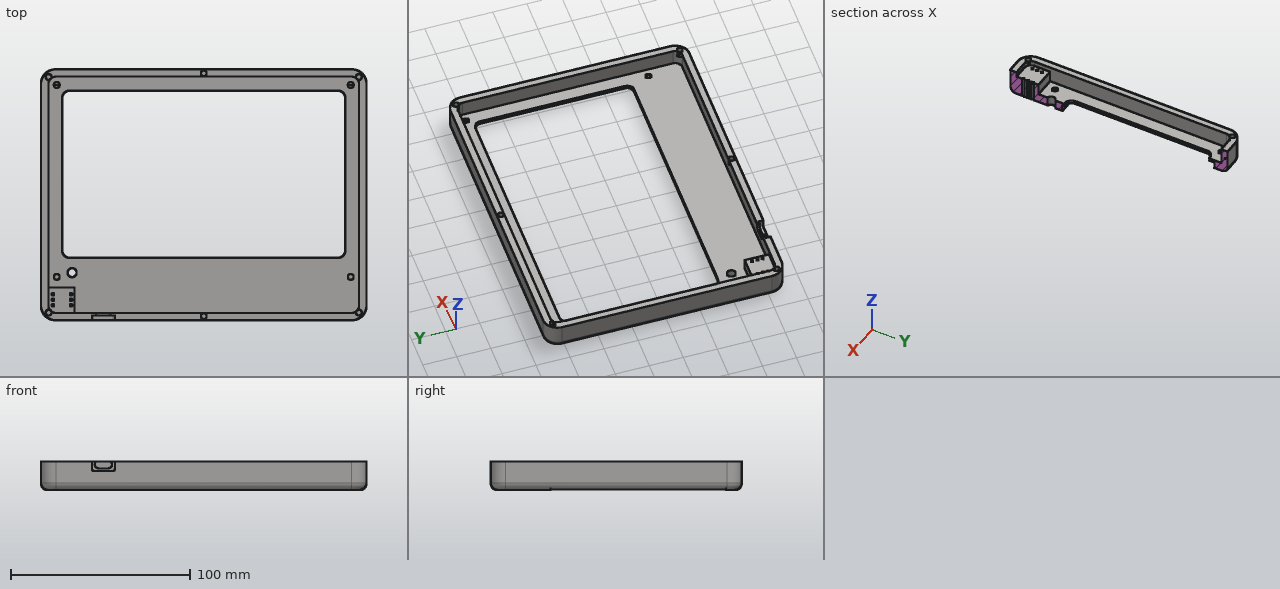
import cadquery as cq

length = 182.0
width = 140.3
height = 16.0
wall = 4.2
corner_radius = 8.4
inner_corner_radius = corner_radius - wall
bottom_fillet = 4.0
floor_top = 6.0

window_length = 158.0
window_width = 93.2
window_center_y = 11.5
window_radius = 4.0

panel_length = 177.3
panel_width = 98.0
panel_center_y = 12.4
panel_lip = 2.0
panel_depth = floor_top - panel_lip

screw_diameter = 3.3
rim_screw_depth = 4.0
corner_screw_inset = 4.4
middle_screw_inset = 2.4
floor_screw_depth = 1.5
floor_screw_x = 82.0
floor_screw_back_y = 61.3
floor_screw_front_y = -45.9

button_diameter = 5.0
button_x = -73.5
button_y = -43.5

block_length = 14.5
block_width = 14.2
block_top = height - 3.1
pin_diameter = 1.2
pin_pitch = 3.1
pin_row_spacing = 10.2
pin_center_x = -79.2
pin_center_y = -58.6

port_x = -56.0
port_length = 9.6
port_height = 4.4
port_bottom_drop = 3.8
port_recess_length = 12.7
port_recess_height = 5.3
port_recess_depth = 2.7
port_recess_radius = 1.0

inner_x = length / 2 - wall
inner_y = width / 2 - wall
front_y = -width / 2


def rounded_block(size_x, size_y, size_z, radius, base_z):
    block = cq.Workplane("XY").workplane(offset=base_z).rect(size_x, size_y).extrude(size_z)
    return block.edges("|Z").fillet(radius)


def holes_down(points, diameter, depth, top_z):
    plane = cq.Workplane("XY").workplane(offset=top_z)
    return plane.pushPoints(points).circle(diameter / 2).extrude(-depth)


def make_shell():
    outside = rounded_block(length, width, height, corner_radius, 0)
    outside = outside.faces("<Z").edges().fillet(bottom_fillet)
    inside = rounded_block(2 * inner_x, 2 * inner_y, height - floor_top, inner_corner_radius, floor_top)
    return outside.cut(inside)


def make_window():
    window = rounded_block(window_length, window_width, floor_top, window_radius, 0)
    return window.translate((0, window_center_y, 0))


def make_panel_recess():
    plane = cq.Workplane("XY").center(0, panel_center_y)
    return plane.rect(panel_length, panel_width).extrude(panel_depth)


def make_corner_block():
    block_height = block_top - floor_top
    block = cq.Workplane("XY").box(block_length, block_width, block_height, centered=False)
    return block.translate((-inner_x, -inner_y, floor_top))


def make_pin_holes():
    points = [
        (pin_center_x + side * pin_row_spacing / 2, pin_center_y + row * pin_pitch)
        for side in (-1, 1)
        for row in (-1, 0, 1)
    ]
    return holes_down(points, pin_diameter, block_top, block_top)


def make_rim_screw_holes():
    corner_x = length / 2 - corner_screw_inset
    corner_y = width / 2 - corner_screw_inset
    middle_y = width / 2 - middle_screw_inset
    points = [(x, y) for x in (-corner_x, corner_x) for y in (-corner_y, corner_y)]
    points += [(0, -middle_y), (0, middle_y)]
    return holes_down(points, screw_diameter, rim_screw_depth, height)


def make_floor_screw_holes():
    points = [
        (x, y)
        for x in (-floor_screw_x, floor_screw_x)
        for y in (floor_screw_front_y, floor_screw_back_y)
    ]
    return holes_down(points, screw_diameter, floor_screw_depth, floor_top)


def make_port():
    center_z = height - port_bottom_drop + port_height / 2
    plane = cq.Workplane("XZ", origin=(port_x, front_y, center_z))
    return plane.slot2D(port_length, port_height).extrude(-wall)


def make_port_recess():
    recess = cq.Workplane("XY").box(
        port_recess_length, port_recess_depth, port_recess_height, centered=(True, False, False)
    )
    recess = recess.edges("|Y and <Z").fillet(port_recess_radius)
    return recess.translate((port_x, front_y, height - port_recess_height))


tray = make_shell().union(make_corner_block())
tray = tray.cut(make_window()).cut(make_panel_recess())
tray = tray.cut(make_pin_holes())
tray = tray.cut(make_rim_screw_holes()).cut(make_floor_screw_holes())
tray = tray.cut(holes_down([(button_x, button_y)], button_diameter, floor_top, floor_top))
result = tray.cut(make_port()).cut(make_port_recess())